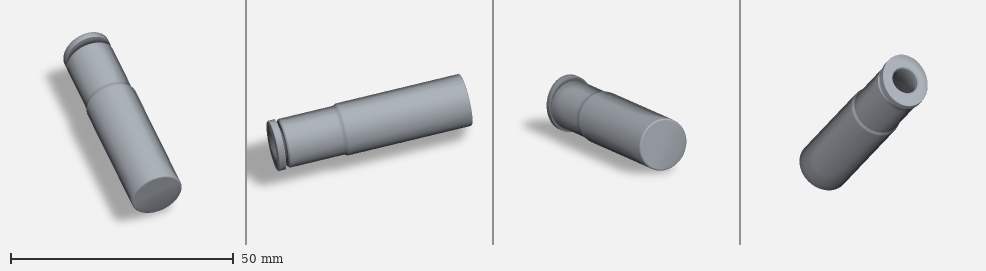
import cadquery as cq

total_length = 44.95

flange_width = 11.0
flange_height = 13.0
flange_thickness = 1.57
flange_edge_radius = 0.2

neck_diameter = 7.5

body_start = 2.35
front_diameter = 11.25
front_chamfer = 0.3
rear_diameter = 12.0
rear_edge_radius = 0.4

shoulder_start = 15.05
shoulder_length = 1.2
shoulder_concave_share = 0.45

socket_diameter = 6.05
socket_mouth_chamfer = 0.25
socket_depth = shoulder_start + shoulder_length


def make_flange():
    flange = (
        cq.Workplane("YZ")
        .ellipse(flange_width / 2, flange_height / 2)
        .extrude(flange_thickness)
    )
    return flange.faces("<X").edges().fillet(flange_edge_radius)


def make_neck():
    return (
        cq.Workplane("YZ")
        .workplane(offset=flange_thickness / 2)
        .circle(neck_diameter / 2)
        .extrude(body_start + front_chamfer - flange_thickness / 2)
    )


def make_body():
    front_radius = front_diameter / 2
    rear_radius = rear_diameter / 2
    shoulder_end = shoulder_start + shoulder_length
    shoulder_rise = rear_radius - front_radius

    joint_x = shoulder_start + shoulder_concave_share * shoulder_length
    joint_radius = front_radius + shoulder_concave_share * shoulder_rise

    profile = (
        cq.Workplane("XY")
        .moveTo(body_start, 0)
        .lineTo(body_start, front_radius - front_chamfer)
        .lineTo(body_start + front_chamfer, front_radius)
        .lineTo(shoulder_start, front_radius)
        .tangentArcPoint((joint_x, joint_radius), relative=False)
        .tangentArcPoint((shoulder_end, rear_radius), relative=False)
        .lineTo(total_length - rear_edge_radius, rear_radius)
        .tangentArcPoint((total_length, rear_radius - rear_edge_radius), relative=False)
        .lineTo(total_length, 0)
        .close()
    )
    return profile.revolve(360, (0, 0, 0), (1, 0, 0))


def make_socket():
    socket_radius = socket_diameter / 2
    profile = (
        cq.Workplane("XY")
        .lineTo(0, socket_radius + socket_mouth_chamfer)
        .lineTo(socket_mouth_chamfer, socket_radius)
        .lineTo(socket_depth, socket_radius)
        .lineTo(socket_depth, 0)
        .close()
    )
    return profile.revolve(360, (0, 0, 0), (1, 0, 0))


result = make_flange().union(make_neck()).union(make_body()).cut(make_socket())